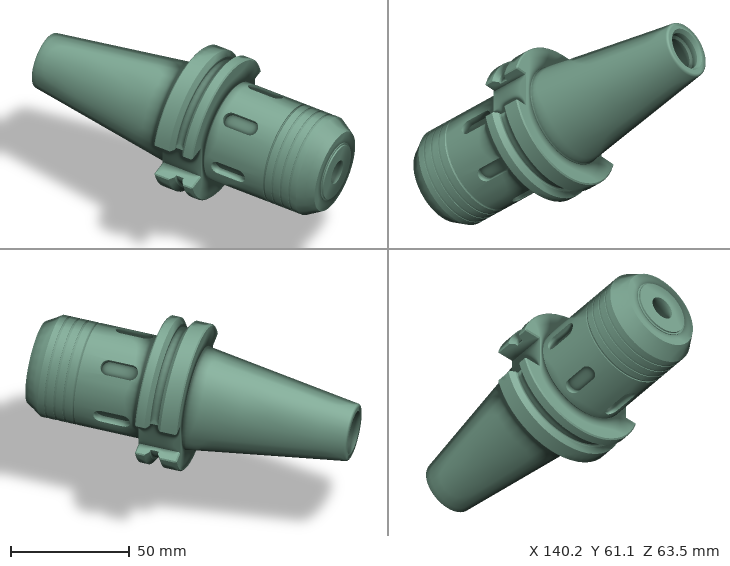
import cadquery as cq
import math

total_length = 140.2

taper_ratio = 7 / 24
gauge_diameter = 44.5
taper_length = 68.2
small_end_diameter = gauge_diameter - taper_ratio * taper_length
small_end_fillet = 1.1
collar_diameter = 45.0
collar_bevel_length = 0.4

flange_diameter = 63.5
flange_start = 68.9
flange_width = 18.4
flange_end = flange_start + flange_width
flange_chamfer = 0.5
v_groove_start = 76.0
v_groove_width = 7.0
v_groove_bevel_length = 1.7
v_groove_bevel_depth = 2.4
v_groove_floor_diameter = 56.2
drive_slot_width = 16.3
drive_slot_floor_plus_y = 24.8
drive_slot_floor_minus_y = 22.6

stem_diameter = 35.2
stem_end = 136.0
nose_diameter = 24.3

bore_diameter = 10.7
thread_diameter = 13.9
thread_end = 28.0
thread_cone_length = 1.0
counterbore_diameter = 16.4
counterbore_end = 4.2
counterbore_cone_length = 0.7
mouth_diameter = 18.8
mouth_depth = 1.7

nut_diameter = 44.0
nut_gap = 0.4
nut_start = flange_end + nut_gap
nut_end = 116.5
nut_chamfer = 0.8

spanner_slot_count = 6
spanner_slot_length = 16.3
spanner_slot_width = 6.6
spanner_slot_center = 99.9
spanner_slot_floor_radius = 18.4

cap_end = 139.1
cap_joint_width = 0.4
cap_joint_depth = 0.5
cap_cone_start = 132.4
cap_face_diameter = 35.8
grip_groove_count = 3
grip_groove_pitch = 4.0
grip_groove_first = 121.0
grip_groove_width = 1.0
grip_groove_depth = 0.3

seal_diameter = 25.8
seal_end = 139.5


def revolved(points):
    """Solid of revolution about the X axis from (x, diameter) points."""
    profile = [(x, diameter / 2) for x, diameter in points]
    return cq.Workplane("XY").polyline(profile).close().revolve(360, (0, 0, 0), (1, 0, 0))


def tube(outer_diameter, inner_diameter, start, end):
    """Tube along the X axis from start to end."""
    section = cq.Workplane("YZ", origin=(start, 0, 0)).circle(outer_diameter / 2)
    return section.circle(inner_diameter / 2).extrude(end - start)


def make_shank():
    """Taper with a rounded small end and a bevelled collar."""
    shank = revolved([
        (0, 0),
        (0, small_end_diameter),
        (taper_length, gauge_diameter),
        (taper_length + collar_bevel_length, collar_diameter),
        (flange_start, collar_diameter),
        (flange_start, 0),
    ])
    return shank.edges("<X").fillet(small_end_fillet)


def make_drive_slot(side, floor):
    """Cutter for the drive slot on the +Y (side = 1) or -Y (side = -1) side."""
    slot = cq.Workplane("XY").box(flange_width, flange_diameter, drive_slot_width)
    return slot.translate((flange_start + flange_width / 2, side * (floor + flange_diameter / 2), 0))


def make_v_groove():
    """Cutter for the V groove: two bevels, each followed by a small step down to the floor."""
    bevel_bottom_diameter = flange_diameter - 2 * v_groove_bevel_depth
    floor_start = v_groove_start + v_groove_bevel_length
    floor_end = v_groove_start + v_groove_width - v_groove_bevel_length
    return revolved([
        (v_groove_start, flange_diameter),
        (floor_start, bevel_bottom_diameter),
        (floor_start, v_groove_floor_diameter),
        (floor_end, v_groove_floor_diameter),
        (floor_end, bevel_bottom_diameter),
        (v_groove_start + v_groove_width, flange_diameter),
    ])


def make_flange():
    flange = cq.Workplane("YZ", origin=(flange_start, 0, 0)).circle(flange_diameter / 2).extrude(flange_width)
    flange = flange.cut(make_drive_slot(1, drive_slot_floor_plus_y))
    flange = flange.cut(make_drive_slot(-1, drive_slot_floor_minus_y))
    corner_y = math.sqrt((flange_diameter / 2) ** 2 - (drive_slot_width / 2) ** 2)
    rim_and_walls = flange.edges("%CIRCLE or |Y")
    corners = flange.edges("|X").filter(lambda edge: abs(edge.Center().y) > corner_y - flange_chamfer)
    flange = flange.newObject(rim_and_walls.vals() + corners.vals()).chamfer(flange_chamfer)
    return flange.cut(make_v_groove())


def make_stem():
    """Cylinder inside the nut, stepped down to the nose tip."""
    return revolved([
        (flange_end, 0),
        (flange_end, stem_diameter),
        (stem_end, stem_diameter),
        (stem_end, nose_diameter),
        (total_length, nose_diameter),
        (total_length, 0),
    ])


def make_bore():
    """Cutter for the stepped bore; the threaded hole ends in a cone."""
    return revolved([
        (0, 0),
        (0, mouth_diameter),
        (mouth_depth, counterbore_diameter),
        (counterbore_end, counterbore_diameter),
        (counterbore_end + counterbore_cone_length, thread_diameter),
        (thread_end, thread_diameter),
        (thread_end + thread_cone_length, bore_diameter),
        (total_length, bore_diameter),
        (total_length, 0),
    ])


def make_holder():
    return make_shank().union(make_flange()).union(make_stem()).cut(make_bore())


def make_nut():
    nut = revolved([
        (nut_start, stem_diameter),
        (nut_start, nut_diameter - 2 * nut_chamfer),
        (nut_start + nut_chamfer, nut_diameter),
        (nut_end, nut_diameter),
        (nut_end, stem_diameter),
    ])
    slot = (
        cq.Workplane("XY", origin=(spanner_slot_center, 0, spanner_slot_floor_radius))
        .slot2D(spanner_slot_length, spanner_slot_width)
        .extrude(nut_diameter / 2)
    )
    first_angle = 90
    for i in range(spanner_slot_count):
        angle = first_angle + i * 360 / spanner_slot_count
        nut = nut.cut(slot.rotate((0, 0, 0), (1, 0, 0), angle))
    return nut


def make_cap():
    joint_diameter = nut_diameter - 2 * cap_joint_depth
    joint_end = nut_end + cap_joint_width
    cap = revolved([
        (nut_end, stem_diameter),
        (nut_end, joint_diameter),
        (joint_end, joint_diameter),
        (joint_end + cap_joint_depth, nut_diameter),
        (cap_cone_start, nut_diameter),
        (cap_end, cap_face_diameter),
        (cap_end, seal_diameter),
        (stem_end, seal_diameter),
        (stem_end, stem_diameter),
    ])
    groove_floor_diameter = nut_diameter - 2 * grip_groove_depth
    for i in range(grip_groove_count):
        start = grip_groove_first + i * grip_groove_pitch - grip_groove_width / 2
        cap = cap.cut(tube(nut_diameter, groove_floor_diameter, start, start + grip_groove_width))
    return cap


holder = make_holder()
nut = make_nut()
cap = make_cap()
seal_ring = tube(seal_diameter, nose_diameter, stem_end, seal_end)

result = cq.Compound.makeCompound([holder.val(), nut.val(), cap.val(), seal_ring.val()])